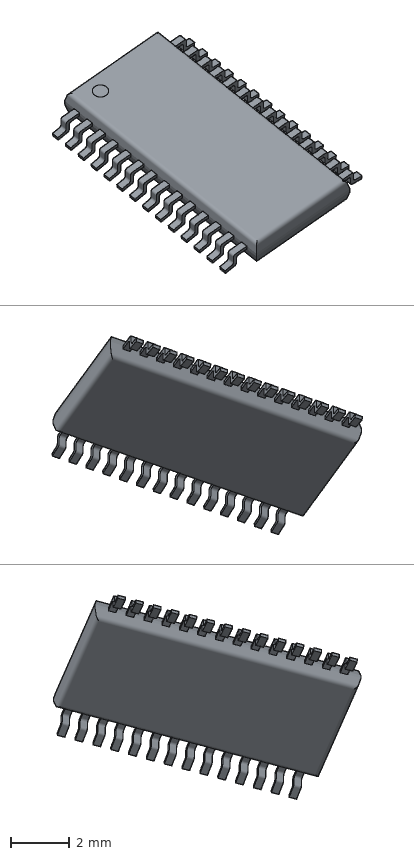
import cadquery as cq
import math

package_length = 9.7
package_width = 4.4
package_height = 1.0
band_bottom = 0.45
band_thickness = 0.15
band_top = band_bottom + band_thickness
draft_angle = 12.0
edge_radius = 0.16

leads_per_side = 14
lead_pitch = 0.65
lead_width = 0.27
lead_thickness = band_thickness
overall_width = 6.46
leg_outer_reach = 0.63
foot_angle = 8.0
foot_drop = 0.05
bend_radius = 0.1

marker_radius = 0.28
marker_depth = 0.1
marker_x = -4.07
marker_y = -1.23


def tapered_half(height):
    """Half of the moulding, rising from the band and narrowing to a rounded rim."""
    return (
        cq.Workplane("XY")
        .rect(package_length, package_width)
        .extrude(height, taper=draft_angle)
        .faces(">Z")
        .edges()
        .fillet(edge_radius)
    )


def make_moulding():
    band = (
        cq.Workplane("XY", origin=(0, 0, band_bottom))
        .rect(package_length, package_width)
        .extrude(band_thickness)
    )
    upper = tapered_half(package_height - band_top).translate((0, 0, band_top))
    lower = tapered_half(band_bottom).mirror("XY").translate((0, 0, band_bottom))
    return band.union(upper).union(lower)


def make_lead():
    """One lead centred on X = 0, leaving the +Y side of the package."""
    slope = math.tan(math.radians(foot_angle))
    root = package_width / 2
    embedded_end = root - lead_thickness
    leg_outer = root + leg_outer_reach
    leg_inner = leg_outer - lead_thickness

    tip_top_y = overall_width / 2
    tip_bottom_y = tip_top_y - lead_thickness * math.sin(math.radians(foot_angle))
    tip_bottom_z = -foot_drop
    tip_top_z = tip_bottom_z + lead_thickness * math.cos(math.radians(foot_angle))
    ankle_top_z = tip_top_z + (tip_top_y - leg_outer) * slope
    ankle_bottom_z = tip_bottom_z + (tip_bottom_y - leg_inner) * slope

    profile = [
        (embedded_end, band_top),
        (leg_outer, band_top),
        (leg_outer, ankle_top_z),
        (tip_top_y, tip_top_z),
        (tip_bottom_y, tip_bottom_z),
        (leg_inner, ankle_bottom_z),
        (leg_inner, band_bottom),
        (embedded_end, band_bottom),
    ]
    blank = cq.Workplane("YZ").polyline(profile).close().extrude(lead_width / 2, both=True)

    near_leg = cq.selectors.BoxSelector(
        (-lead_width, leg_inner - bend_radius / 2, -foot_drop),
        (lead_width, leg_outer + bend_radius / 2, package_height),
    )
    return blank.edges("|X").edges(near_leg).fillet(bend_radius)


def make_marker():
    return (
        cq.Workplane("XY", origin=(marker_x, marker_y, package_height - marker_depth))
        .circle(marker_radius)
        .extrude(marker_depth)
    )


def make_package():
    """Moulding with both rows of leads and the recess for the marker."""
    package = make_moulding()
    back_lead = make_lead()
    front_lead = back_lead.mirror("XZ")
    for index in range(leads_per_side):
        lead_x = (index - (leads_per_side - 1) / 2) * lead_pitch
        package = package.union(back_lead.translate((lead_x, 0, 0)))
        package = package.union(front_lead.translate((lead_x, 0, 0)))
    return package.cut(make_marker())


package = make_package()
marker = make_marker()

result = cq.Compound.makeCompound([package.solids().val(), marker.val()])